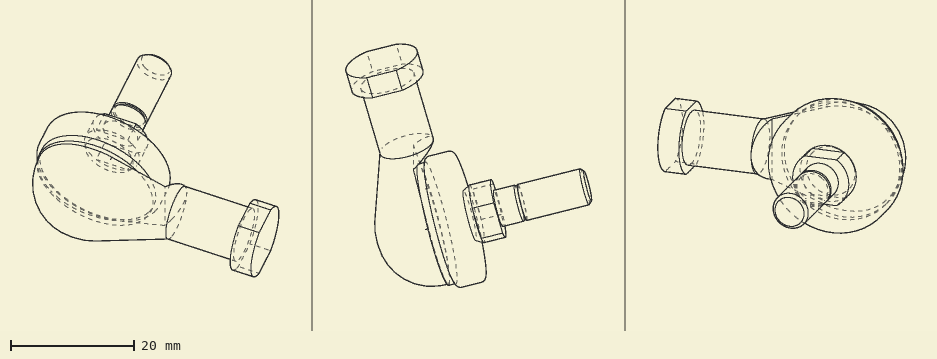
import cadquery as cq
import math


dome_radius = 9.0
dome_stretch = 1.0
dome_top = 0.55
arm_radius = 4.5
arm_start = 14.47
arm_end = 30.0
relief_start = 12.3

head_radius = 6.03
head_length = 3.65
head_across_flats = 11.0

flange_radius = 11.0
flange_bottom = 1.75
flange_top = 6.65
flange_fillet = 0.8
neck_radius = flange_radius - flange_fillet

collar_base_radius = 4.2
collar_radius = 4.85
wrench_bottom = 7.85
wrench_top = 11.45
wrench_across_flats = 7.95
shank_radius = 3.05
shank_top = 14.92
thread_bottom = 15.45
thread_relief_radius = 2.65
stud_top = 26.5
tip_chamfer = 0.55


def cylinder_along_y(radius, bottom, top):
    """Round disc on the stud axis between two Y levels."""
    plane = cq.Workplane("XZ", origin=(0, bottom, 0))
    return plane.circle(radius).extrude(bottom - top)


def make_dome_and_arm():
    """Stretched dome running through a tangent cone into the round arm."""
    arm_corner_distance = math.hypot(arm_start, arm_radius)
    tangent_angle = math.atan2(arm_radius, arm_start) + math.acos(dome_radius / arm_corner_distance)
    tangent_x = dome_radius * math.cos(tangent_angle)
    tangent_y = dome_radius * math.sin(tangent_angle)
    arc_middle_angle = (tangent_angle + math.pi / 2) / 2
    arc_middle = (dome_radius * math.cos(arc_middle_angle), dome_radius * math.sin(arc_middle_angle))
    end_arc_middle = (
        -dome_stretch - dome_radius * math.cos(math.pi / 4),
        dome_radius * math.sin(math.pi / 4),
    )

    def half_outline(plane):
        return (
            cq.Workplane(plane)
            .moveTo(-dome_stretch - dome_radius, 0)
            .threePointArc(end_arc_middle, (-dome_stretch, dome_radius))
            .lineTo(0, dome_radius)
            .threePointArc(arc_middle, (tangent_x, tangent_y))
        )

    body = (
        half_outline("XY")
        .lineTo(arm_start, arm_radius)
        .lineTo(arm_end, arm_radius)
        .lineTo(arm_end, 0)
        .close()
        .revolve(360, (0, 0, 0), (1, 0, 0))
    )
    clearance = (
        cq.Workplane("XY")
        .moveTo(-2 * dome_radius, dome_top)
        .lineTo(relief_start, dome_top)
        .lineTo(arm_start, arm_radius)
        .lineTo(arm_start, 2 * dome_radius)
        .lineTo(-2 * dome_radius, 2 * dome_radius)
        .close()
        .extrude(2 * dome_radius, both=True)
    )
    half_rim = half_outline("XZ").lineTo(tangent_x, 0).close().extrude(-dome_top)
    rim = half_rim.union(half_rim.mirror("XY"))
    return body.cut(clearance).union(rim)


def make_head():
    """Disc at the arm end with flats facing up and down."""
    disc = cq.Workplane("YZ", origin=(arm_end - head_length, 0, 0)).circle(head_radius).extrude(head_length)
    flats = cq.Workplane("XY").box(4 * arm_end, 2 * head_radius, head_across_flats)
    return disc.intersect(flats)


def make_housing():
    neck = cylinder_along_y(neck_radius, dome_top, flange_bottom)
    flange = cylinder_along_y(flange_radius, flange_bottom, flange_top).edges().fillet(flange_fillet)
    return make_dome_and_arm().union(make_head()).union(neck).union(flange)


def make_stud():
    """Stud seated on the flange: conical collar, wrench flats, shank and thread."""
    turned = (
        cq.Workplane("XY")
        .moveTo(0, flange_top)
        .lineTo(collar_base_radius, flange_top)
        .lineTo(collar_radius, wrench_bottom)
        .lineTo(shank_radius, wrench_bottom)
        .lineTo(shank_radius, shank_top)
        .lineTo(thread_relief_radius, thread_bottom)
        .lineTo(shank_radius, thread_bottom)
        .lineTo(shank_radius, stud_top - tip_chamfer)
        .lineTo(shank_radius - tip_chamfer, stud_top)
        .lineTo(0, stud_top)
        .close()
        .revolve(360, (0, 0, 0), (0, 1, 0))
    )
    flats = cq.Workplane("XY").box(2 * collar_radius, 2 * stud_top, wrench_across_flats)
    wrench = cylinder_along_y(collar_radius, wrench_bottom, wrench_top).intersect(flats)
    return turned.union(wrench)


housing = make_housing()
stud = make_stud()
result = cq.Compound.makeCompound([housing.solids().val(), stud.solids().val()])